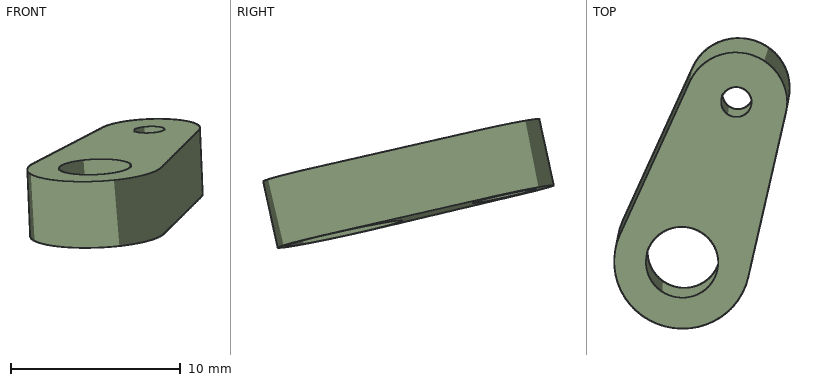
import cadquery as cq
import math

thickness = 4.0
large_end_radius = 4.0
small_end_radius = 3.0
center_distance = 10.2
large_hole_diameter = 4.25
small_hole_diameter = 1.8
large_recess_diameter = 7.0
small_recess_diameter = 3.8
large_recess_depth = 1.25
small_recess_depth = 1.8

heading = 71.3
lean_x = 2.4
lean_y = 12.3


def tilted_plane():
    """Plane of the lower face, with local x running to the small end."""
    normal_x = -math.tan(math.radians(lean_x))
    normal_y = -math.tan(math.radians(lean_y))
    along_x = math.cos(math.radians(heading))
    along_y = math.sin(math.radians(heading))
    along_z = -(normal_x * along_x + normal_y * along_y)
    return cq.Plane(
        origin=(0, 0, 0),
        xDir=(along_x, along_y, along_z),
        normal=(normal_x, normal_y, 1),
    )


def link_body(plane):
    """Two round ends joined by their common tangent lines."""
    tangent_cos = (large_end_radius - small_end_radius) / center_distance
    tangent_sin = math.sqrt(1 - tangent_cos**2)
    large_x = large_end_radius * tangent_cos
    large_y = large_end_radius * tangent_sin
    small_x = center_distance + small_end_radius * tangent_cos
    small_y = small_end_radius * tangent_sin
    return (
        cq.Workplane(plane)
        .moveTo(large_x, large_y)
        .threePointArc((-large_end_radius, 0), (large_x, -large_y))
        .lineTo(small_x, -small_y)
        .threePointArc((center_distance + small_end_radius, 0), (small_x, small_y))
        .close()
        .extrude(thickness)
    )


def cylinder(plane, distance, diameter, height):
    """Cylinder rising from the lower face, on the link's centerline."""
    return cq.Workplane(plane).center(distance, 0).circle(diameter / 2).extrude(height)


lower_face = tilted_plane()
result = link_body(lower_face)

for distance, hole_diameter, recess_diameter, recess_depth in (
    (0, large_hole_diameter, large_recess_diameter, large_recess_depth),
    (center_distance, small_hole_diameter, small_recess_diameter, small_recess_depth),
):
    result = result.cut(cylinder(lower_face, distance, hole_diameter, thickness))
    result = result.cut(cylinder(lower_face, distance, recess_diameter, recess_depth))